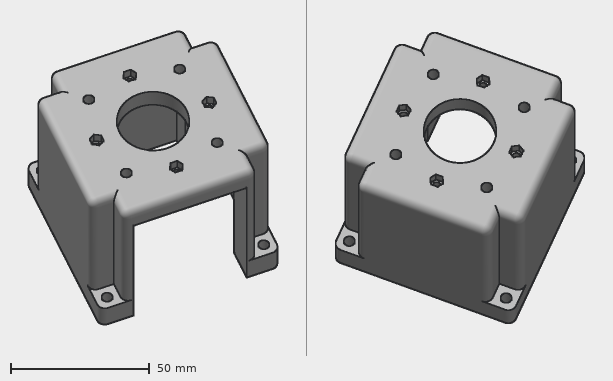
import cadquery as cq
import math

side = 70.0
height = 63.0
edge_radius = 3.0

pad_height = 10.0
notch_size = 9.0
pad_hole_diameter = 4.0
pad_hole_inset = 4.5

top_thickness = 8.0
end_wall = 4.0
x_arm_side_wall = 4.0
y_arm_side_wall = 3.0

bore_diameter = 26.1
top_hole_diameter = 4.0
top_hole_circle_diameter = 50.0
nut_hole_diameter = 3.0
nut_hole_pitch = 31.0
nut_across_corners = 5.2
nut_pocket_depth = 4.0

top_hole_pitch = top_hole_circle_diameter / math.sqrt(2)
nut_circle_diameter = nut_hole_pitch * math.sqrt(2)
arm_width = side - 2 * notch_size
cavity_height = height - top_thickness
cavity_reach = side / 2 - end_wall
x_arm_cavity_width = arm_width - 2 * x_arm_side_wall
y_arm_cavity_width = arm_width - 2 * y_arm_side_wall
pad_hole_spacing = side - 2 * pad_hole_inset


def block(size_x, size_y, size_z):
    """Box centred in X and Y, standing on the Z = 0 plane."""
    return cq.Workplane("XY").box(size_x, size_y, size_z, centered=(True, True, False))


def rounded_arm(size_x, size_y):
    """Full-height arm with rounded vertical and top edges."""
    return block(size_x, size_y, height).edges("|Z or >Z").fillet(edge_radius)


def make_body():
    """Square base carrying two crossed arms."""
    base = block(side, side, pad_height).edges("|Z").fillet(edge_radius)
    return base.union(rounded_arm(side, arm_width)).union(rounded_arm(arm_width, side))


def make_cavity():
    """Crossed cavity; its X arm runs out through the +X side."""
    x_arm_length = cavity_reach + side / 2
    x_arm_centre = (side / 2 - cavity_reach) / 2
    x_arm = block(x_arm_length, x_arm_cavity_width, cavity_height).translate((x_arm_centre, 0, 0))
    y_arm = block(y_arm_cavity_width, 2 * cavity_reach, cavity_height)
    return x_arm.union(y_arm)


def make_pad_holes():
    """One vertical through hole in each corner pad."""
    return (
        cq.Workplane("XY")
        .rect(pad_hole_spacing, pad_hole_spacing, forConstruction=True)
        .vertices()
        .circle(pad_hole_diameter / 2)
        .extrude(pad_height)
    )


def make_top_openings():
    """Central bore and the four diagonal holes through the top plate."""
    plate_underside = cq.Workplane("XY").workplane(offset=cavity_height)
    bore = plate_underside.circle(bore_diameter / 2).extrude(top_thickness)
    diagonal_holes = (
        plate_underside
        .rect(top_hole_pitch, top_hole_pitch, forConstruction=True)
        .vertices()
        .circle(top_hole_diameter / 2)
        .extrude(top_thickness)
    )
    return bore.union(diagonal_holes)


def make_nut_seat(angle):
    """Through hole under a hexagonal pocket that has a corner pointing across the radius."""
    hole = (
        cq.Workplane("XY")
        .workplane(offset=cavity_height)
        .circle(nut_hole_diameter / 2)
        .extrude(top_thickness)
    )
    pocket = (
        cq.Workplane("XY")
        .workplane(offset=height - nut_pocket_depth)
        .polygon(6, nut_across_corners)
        .extrude(nut_pocket_depth)
        .rotate((0, 0, 0), (0, 0, 1), 90)
    )
    seat = hole.union(pocket).translate((nut_circle_diameter / 2, 0, 0))
    return seat.rotate((0, 0, 0), (0, 0, 1), angle)


result = make_body().cut(make_cavity()).cut(make_pad_holes()).cut(make_top_openings())
for seat_angle in (0, 90, 180, 270):
    result = result.cut(make_nut_seat(seat_angle))